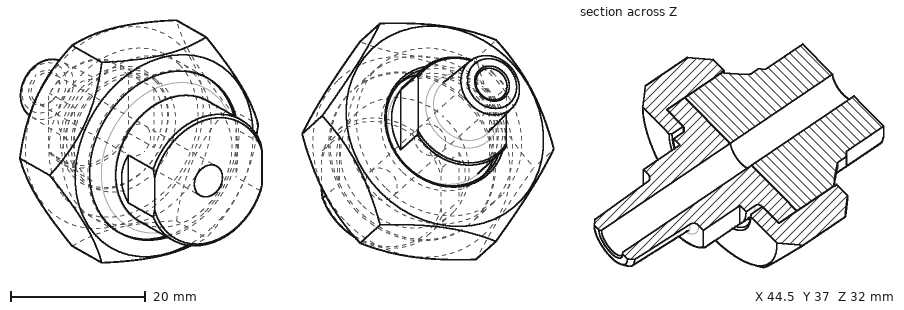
import cadquery as cq
import math


shoulder_x = 11.95
nut_start_x = 18.95
nut_end_x = 32.5
body_end_x = 44.5
lip_thickness = 2.45
flange_thickness = 3.55
flange_start_x = nut_start_x + lip_thickness
joint_x = flange_start_x + flange_thickness

bore_radius = 5.0 / 2
bore_chamfer = 0.25

spigot_tip_radius = 4.67
spigot_root_radius = 5.0
spigot_chamfer = 0.75
spigot_fillet = 0.9
neck_radius = 17.0 / 2
neck_chamfer = 0.25
neck_across_flats = 14.1

nut_across_flats = 32.0
nut_face_radius = 15.75
lip_bore_radius = 18.5 / 2
lip_chamfer = 0.3
neck_fillet = lip_bore_radius - neck_radius
thread_radius = 26.4 / 2

barrel_radius = 20.5 / 2
barrel_chamfer = 0.4
barrel_across_flats = 19.05
barrel_flat_start_x = 37.4
cone_end_x = 33.38
cone_end_radius = 23.5 / 2
cone_start_x = cone_end_x - (thread_radius - cone_end_radius)
barrel_start_x = 35.1
cone_foot_x = 34.95
cone_foot_radius = 10.35


def revolve_about_x(profile):
    """Turn a closed (x, radius) profile once around the X axis."""
    return profile.close().revolve(360, (0, 0, 0), (1, 0, 0))


def fillet_midpoint(center_x, center_radius, fillet):
    """Middle of a concave fillet between a cylinder and the wall on its +X side."""
    offset = fillet * math.sqrt(0.5)
    return center_x + offset, center_radius - offset


def flat_cutters(across_flats, start_x, end_x, run_in_slope=0.0):
    """Blocks that mill two opposite flats, with an optionally sloped wall at the start."""
    half = across_flats / 2
    height = thread_radius * 2
    outer = half + height
    cutter = (
        cq.Workplane("XY")
        .polyline([(start_x, half), (end_x, half), (end_x, outer), (start_x - run_in_slope * height, outer)])
        .close()
        .extrude(height / 2, both=True)
    )
    return cutter.union(cutter.mirror("XZ"))


def make_tail_piece():
    spigot_fillet_mid = fillet_midpoint(
        shoulder_x - spigot_fillet, spigot_root_radius + spigot_fillet, spigot_fillet
    )
    neck_fillet_mid = fillet_midpoint(flange_start_x - neck_fillet, lip_bore_radius, neck_fillet)
    tail = revolve_about_x(
        cq.Workplane("XY")
        .moveTo(0, bore_radius + bore_chamfer)
        .lineTo(0, spigot_tip_radius - spigot_chamfer)
        .lineTo(spigot_chamfer, spigot_tip_radius)
        .lineTo(shoulder_x - spigot_fillet, spigot_root_radius)
        .threePointArc(spigot_fillet_mid, (shoulder_x, spigot_root_radius + spigot_fillet))
        .lineTo(shoulder_x, neck_radius - neck_chamfer)
        .lineTo(shoulder_x + neck_chamfer, neck_radius)
        .lineTo(flange_start_x - neck_fillet, neck_radius)
        .threePointArc(neck_fillet_mid, (flange_start_x, lip_bore_radius))
        .lineTo(flange_start_x, thread_radius)
        .lineTo(joint_x, thread_radius)
        .lineTo(joint_x, bore_radius)
        .lineTo(bore_chamfer, bore_radius)
    )
    return tail.cut(flat_cutters(neck_across_flats, shoulder_x, nut_start_x))


def make_body():
    body = revolve_about_x(
        cq.Workplane("XY")
        .moveTo(joint_x, bore_radius)
        .lineTo(joint_x, thread_radius)
        .lineTo(cone_start_x, thread_radius)
        .lineTo(cone_end_x, cone_end_radius)
        .lineTo(cone_foot_x, cone_foot_radius)
        .lineTo(barrel_start_x, barrel_radius)
        .lineTo(body_end_x - barrel_chamfer, barrel_radius)
        .lineTo(body_end_x, barrel_radius - barrel_chamfer)
        .lineTo(body_end_x, bore_radius)
    )
    return body.cut(flat_cutters(barrel_across_flats, barrel_flat_start_x, body_end_x, run_in_slope=1.0))


def make_nut():
    corner_radius = nut_across_flats / math.sqrt(3)
    corner_chamfer = corner_radius - nut_face_radius
    hexagon = (
        cq.Workplane("YZ", origin=(nut_start_x, 0, 0))
        .polygon(6, 2 * corner_radius)
        .extrude(nut_end_x - nut_start_x)
    )
    envelope = revolve_about_x(
        cq.Workplane("XY")
        .moveTo(nut_start_x, lip_bore_radius + lip_chamfer)
        .lineTo(nut_start_x, nut_face_radius)
        .lineTo(nut_start_x + corner_chamfer, corner_radius)
        .lineTo(nut_end_x - corner_chamfer, corner_radius)
        .lineTo(nut_end_x, nut_face_radius)
        .lineTo(nut_end_x, thread_radius)
        .lineTo(flange_start_x, thread_radius)
        .lineTo(flange_start_x, lip_bore_radius)
        .lineTo(nut_start_x + lip_chamfer, lip_bore_radius)
    )
    return hexagon.intersect(envelope)


tail_piece = make_tail_piece()
body = make_body()
nut = make_nut()

result = cq.Compound.makeCompound([tail_piece.val(), body.val(), nut.val()])